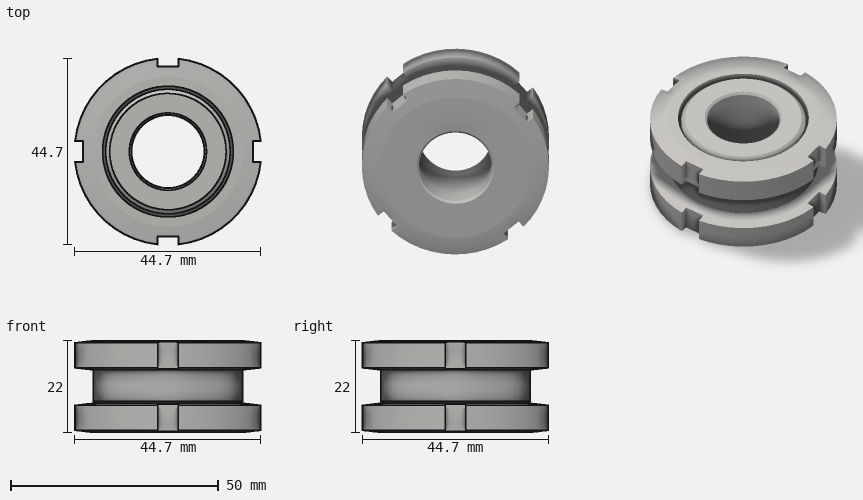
import cadquery as cq
import math

span = 44.7
height = 22.0
flange_thickness = 6.98

notch_count = 4
notch_width = 5.0
notch_floor_radius = 20.5

flange_radius = math.hypot(span / 2, notch_width / 2)
flat_radius = 18.0
cone_height = 0.5

neck_radius = flat_radius
neck_chamfer = 0.55

sleeve_radius = 15.0
sleeve_chamfer = 1.0
clearance_radius = 15.75

bore_radius = 8.75
bore_chamfer = 0.55

upper_flange_z = height - flange_thickness


def make_flange(bottom_z):
    """Notched disc with a shallow cone on both faces."""
    top_z = bottom_z + flange_thickness
    disc = (
        cq.Workplane("XZ")
        .polyline([
            (0, bottom_z),
            (flat_radius, bottom_z),
            (flange_radius, bottom_z + cone_height),
            (flange_radius, top_z - cone_height),
            (flat_radius, top_z),
            (0, top_z),
        ])
        .close()
        .revolve(360, (0, 0, 0), (0, 1, 0))
    )
    cutter_length = flange_radius
    notches = (
        cq.Workplane("XY", origin=(0, 0, bottom_z))
        .polarArray(notch_floor_radius + cutter_length / 2, 0, 360, notch_count)
        .rect(cutter_length, notch_width)
        .extrude(flange_thickness)
    )
    return disc.cut(notches)


def make_flanged_sleeve():
    """Lower flange carrying the upright sleeve, bored through."""
    sleeve = (
        cq.Workplane("XY")
        .circle(sleeve_radius)
        .extrude(height)
        .faces(">Z")
        .chamfer(sleeve_chamfer)
    )
    bore = (
        cq.Workplane("XZ")
        .polyline([
            (0, 0),
            (bore_radius + bore_chamfer, 0),
            (bore_radius, bore_chamfer),
            (bore_radius, height - bore_chamfer),
            (bore_radius + bore_chamfer, height),
            (0, height),
        ])
        .close()
        .revolve(360, (0, 0, 0), (0, 1, 0))
    )
    return make_flange(0).union(sleeve).cut(bore)


def make_flanged_collar():
    """Upper flange with a neck that stands on the lower flange."""
    neck = (
        cq.Workplane("XY", origin=(0, 0, flange_thickness))
        .circle(neck_radius)
        .extrude(upper_flange_z - flange_thickness)
        .faces("<Z")
        .chamfer(neck_chamfer)
    )
    clearance_bore = cq.Workplane("XY").circle(clearance_radius).extrude(height)
    return make_flange(upper_flange_z).union(neck).cut(clearance_bore)


flanged_sleeve = make_flanged_sleeve()
flanged_collar = make_flanged_collar()

result = cq.Compound.makeCompound([flanged_sleeve.val(), flanged_collar.val()])